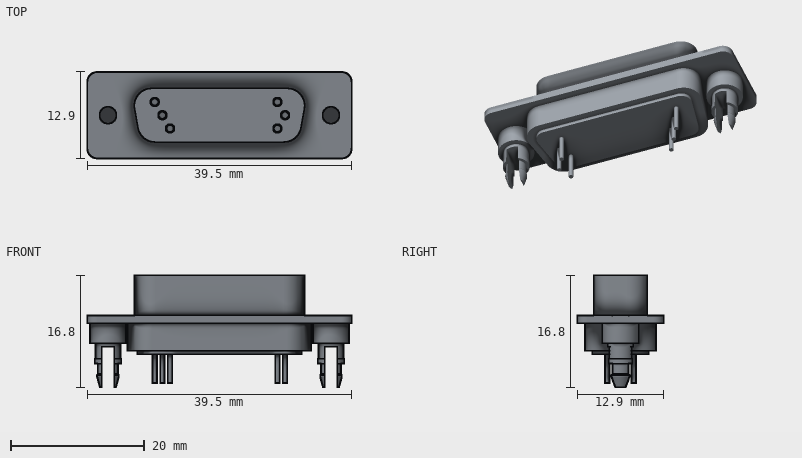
import cadquery as cq
import math


flange_length = 39.5
flange_width = 12.93
flange_thickness = 1.2
flange_corner_radius = 1.5

side_slant = 10.0
shroud_height = 6.0
shroud_mid_width = 25.0
shroud_depth = 8.0
shroud_corner_radius = 2.56
body_bottom = -5.3
body_mid_width = 26.62
body_depth = 10.64
body_corner_radius = 2.66
base_bottom = -5.83
base_mid_width = 23.7
base_depth = 8.5
base_corner_radius = 1.58

contact_pitch = 2.29
row_pitch = 1.98
first_contact_x = -9.67
pin_diameter = 0.7
pin_bottom = -10.14
socket_diameter = 1.3
socket_floor_diameter = 1.06
socket_depth = 0.4
contact_places = [(0, 0), (1, 0), (2, 0), (0, 8), (1, 8), (2, 7)]

lock_spacing = 33.3
lock_hole_diameter = 2.52
barrel_diameter = 5.43
barrel_bottom = -4.17
shank_radius = 3.79 / 2
collar_radius = 2.0
collar_top = -6.46
collar_bottom = -7.2
neck_radius = 1.53
neck_bottom = -8.75
barb_radius = 1.64
barb_top = -8.97
barb_bottom = -9.16
tip_radius = 1.2
tip_bottom = -10.75
slot_width = 1.85
slot_top = -4.7


def d_section(mid_width, depth, corner_radius, bottom, top):
    """D-shaped block, wider toward +Y, with rounded vertical edges."""
    lean = depth / 2 * math.tan(math.radians(side_slant))
    back = mid_width / 2 + lean
    front = mid_width / 2 - lean
    corners = [(-back, depth / 2), (back, depth / 2), (front, -depth / 2), (-front, -depth / 2)]
    block = cq.Workplane("XY").workplane(offset=bottom).polyline(corners).close().extrude(top - bottom)
    return block.edges("|Z").fillet(corner_radius)


def contact_point(row, place):
    """XY centre of a contact."""
    return (first_contact_x + (place + row / 2) * contact_pitch, (1 - row) * row_pitch)


def make_flange():
    plate = cq.Workplane("XY").rect(flange_length, flange_width).extrude(-flange_thickness)
    return plate.edges("|Z").fillet(flange_corner_radius)


def make_pins():
    points = [contact_point(row, place) for row, place in contact_places]
    start = cq.Workplane("XY").workplane(offset=body_bottom).pushPoints(points)
    return start.circle(pin_diameter / 2).extrude(pin_bottom - body_bottom)


def make_sockets():
    """Shallow tapered recesses in the mating face, one above each pin."""
    points = [contact_point(row, place) for row, place in contact_places]
    taper = math.degrees(math.atan((socket_diameter - socket_floor_diameter) / 2 / socket_depth))
    start = cq.Workplane("XY").workplane(offset=shroud_height).pushPoints(points)
    return start.circle(socket_diameter / 2).extrude(-socket_depth, taper=taper)


def make_lock(x):
    """Barrel with a split, barbed snap-in peg below it."""
    profile = [
        (0, -flange_thickness),
        (barrel_diameter / 2, -flange_thickness),
        (barrel_diameter / 2, barrel_bottom),
        (shank_radius, barrel_bottom),
        (shank_radius, collar_top),
        (collar_radius, collar_top),
        (collar_radius, collar_bottom),
        (neck_radius, collar_bottom),
        (neck_radius, neck_bottom),
        (barb_radius, barb_top),
        (barb_radius, barb_bottom),
        (tip_radius, tip_bottom),
        (0, tip_bottom),
    ]
    peg = cq.Workplane("XZ").polyline(profile).close().revolve(360, (0, 0, 0), (0, 1, 0))
    slot = (
        cq.Workplane("XY")
        .workplane(offset=slot_top)
        .rect(slot_width, barrel_diameter)
        .extrude(tip_bottom - slot_top)
    )
    return peg.cut(slot).translate((x, 0, 0))


def make_lock_hole(x):
    """Blind hole through the flange and down the barrel."""
    return cq.Workplane("XY").center(x, 0).circle(lock_hole_diameter / 2).extrude(barrel_bottom)


result = (
    make_flange()
    .union(d_section(shroud_mid_width, shroud_depth, shroud_corner_radius, 0, shroud_height))
    .union(d_section(body_mid_width, body_depth, body_corner_radius, body_bottom, -flange_thickness))
    .union(d_section(base_mid_width, base_depth, base_corner_radius, base_bottom, body_bottom))
    .union(make_pins())
    .cut(make_sockets())
)
for lock_x in (-lock_spacing / 2, lock_spacing / 2):
    result = result.union(make_lock(lock_x)).cut(make_lock_hole(lock_x))